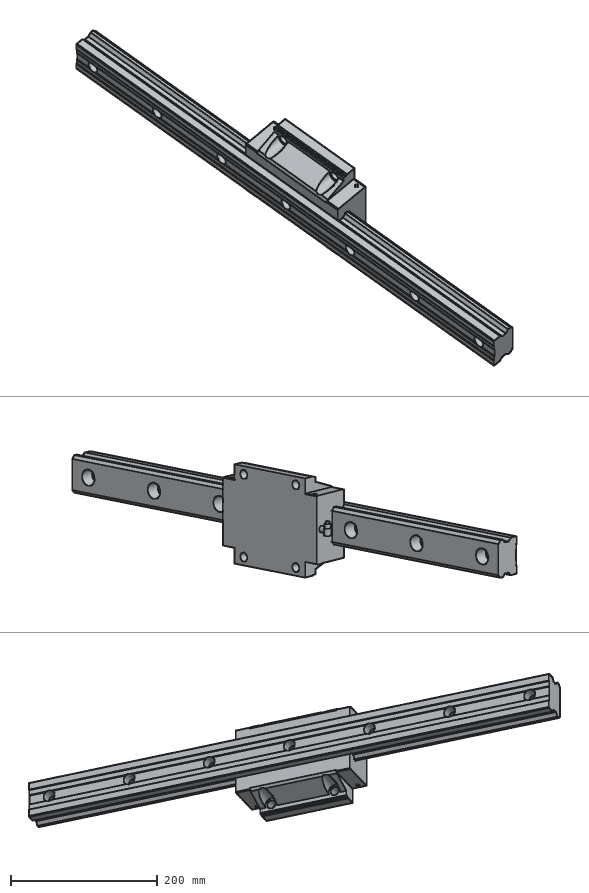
import cadquery as cq

RAIL_LENGTH = 780.0
TOTAL_HEIGHT = 70.0
TOTAL_WIDTH = 140.0

RAIL_HEIGHT = 38.0
RAIL_HALF_WIDTH = 26.5
NECK_HALF_WIDTH = 22.0
FOOT_TOP = 12.5
NECK_BOTTOM = 17.0
NECK_TOP = 24.0
HEAD_BOTTOM = 29.0
HEAD_TOP = 33.5
FOOT_CHAMFER = 1.2

CHANNEL_CLEARANCE = 0.2

RECESS_STEP = 1.0
RECESS_HALF_WIDTHS = [15.5, 7.4]

RAIL_HOLE_COUNT = 7
RAIL_HOLE_PITCH = 120.0
RAIL_HOLE_DIAMETER = 16.0
RAIL_BORE_DIAMETER = 23.0
RAIL_BORE_DEPTH = 20.0

CARRIAGE_BOTTOM = 13.0
CARRIAGE_LENGTH = 171.5
BLOCK_LENGTH = 129.5
CAP_HALF_WIDTH = 48.0
CAP_CHAMFER_HEIGHT = 1.95
CAP_CHAMFER_WIDTH = 1.0

FLANGE_BOTTOM = 48.0
FLANGE_RELIEF_TOP = 55.0
FLANGE_RELIEF_STEP = 2.0
FLANGE_RELIEF_DEPTH = 0.9
FLANK_TOP_HALF_WIDTH = 62.0
FLANK_BOTTOM_HALF_WIDTH = 50.0
FLANK_BOTTOM = 16.0
UNDERSIDE_HALF_WIDTH = 46.0

BOLT_SPACING_X = 95.0
BOLT_SPACING_Z = 116.0
BOLT_HOLE_DIAMETER = 12.5
CLEARANCE_DIAMETER = 19.0

PORT_DIAMETER = 5.0
PORT_DEPTH = 5.0
PORT_Y = 62.5
PORT_INSET = 10.0

NIPPLE_Y = 60.0
NIPPLE_BASE_DIAMETER = 9.0
ELBOW_REACH = 11.0
ELBOW_BOTTOM = -7.0
ELBOW_COLLAR_DIAMETER = 10.0
ELBOW_COLLAR_TOP = 3.0
ELBOW_DIAMETER = 8.5
ELBOW_TOP = 9.0
NIPPLE_TIP_DIAMETER = 5.5
NIPPLE_TIP_TOP = 12.5


def mirrored_profile(half_outline):
    """Close an outline of (y, z) points with its mirror image about Z = 0."""
    other_half = [(y, -z) for y, z in reversed(half_outline)]
    return cq.Workplane("YZ").polyline(half_outline + other_half).close()


def extrude_along_x(half_outline, length):
    """Extrude a mirrored outline to the given length, centred on X = 0."""
    return mirrored_profile(half_outline).extrude(length / 2, both=True)


def cylinder_along_y(x, z, diameter, y_start, y_end):
    base = cq.Vector(x, y_start, z)
    return cq.Workplane(cq.Solid.makeCylinder(diameter / 2, y_end - y_start, base, cq.Vector(0, 1, 0)))


def rail_section():
    half_outline = [
        (0, RAIL_HALF_WIDTH - FOOT_CHAMFER),
        (FOOT_CHAMFER, RAIL_HALF_WIDTH),
        (FOOT_TOP, RAIL_HALF_WIDTH),
        (NECK_BOTTOM, NECK_HALF_WIDTH),
        (NECK_TOP, NECK_HALF_WIDTH),
        (HEAD_BOTTOM, RAIL_HALF_WIDTH),
        (HEAD_TOP, RAIL_HALF_WIDTH),
        (RAIL_HEIGHT, NECK_HALF_WIDTH),
    ]
    return mirrored_profile(half_outline)


def make_rail():
    rail = rail_section().extrude(RAIL_LENGTH / 2, both=True)
    for level, half_width in enumerate(RECESS_HALF_WIDTHS):
        floor = (level + 1) * RECESS_STEP
        groove = [
            (level * RECESS_STEP, half_width),
            (floor, half_width - RECESS_STEP),
        ]
        rail = rail.cut(extrude_along_x(groove, RAIL_LENGTH))
    for index in range(RAIL_HOLE_COUNT):
        x = (index - (RAIL_HOLE_COUNT - 1) / 2) * RAIL_HOLE_PITCH
        rail = rail.cut(cylinder_along_y(x, 0, RAIL_HOLE_DIAMETER, 0, RAIL_HEIGHT))
        bore_floor = RAIL_HEIGHT - RAIL_BORE_DEPTH
        rail = rail.cut(cylinder_along_y(x, 0, RAIL_BORE_DIAMETER, bore_floor, RAIL_HEIGHT))
    return rail


def make_block():
    """Flanged middle part of the carriage."""
    half_width = TOTAL_WIDTH / 2
    half_outline = [
        (CARRIAGE_BOTTOM, UNDERSIDE_HALF_WIDTH),
        (FLANK_BOTTOM, FLANK_BOTTOM_HALF_WIDTH),
        (FLANGE_BOTTOM, FLANK_TOP_HALF_WIDTH),
        (FLANGE_BOTTOM, half_width - 2 * FLANGE_RELIEF_DEPTH),
        (FLANGE_BOTTOM + FLANGE_RELIEF_STEP, half_width - FLANGE_RELIEF_DEPTH),
        (FLANGE_RELIEF_TOP - FLANGE_RELIEF_STEP, half_width - FLANGE_RELIEF_DEPTH),
        (FLANGE_RELIEF_TOP, half_width),
        (TOTAL_HEIGHT, half_width),
    ]
    return extrude_along_x(half_outline, BLOCK_LENGTH)


def make_caps():
    """Two end caps, left from a full-length bar after the span of the block is removed."""
    half_outline = [
        (CARRIAGE_BOTTOM, CAP_HALF_WIDTH - CAP_CHAMFER_WIDTH),
        (CARRIAGE_BOTTOM + CAP_CHAMFER_HEIGHT, CAP_HALF_WIDTH),
        (TOTAL_HEIGHT - CAP_CHAMFER_HEIGHT, CAP_HALF_WIDTH),
        (TOTAL_HEIGHT, CAP_HALF_WIDTH - CAP_CHAMFER_WIDTH),
    ]
    middle = cq.Workplane("XY").box(BLOCK_LENGTH, 3 * TOTAL_HEIGHT, 2 * TOTAL_WIDTH)
    return extrude_along_x(half_outline, CARRIAGE_LENGTH).cut(middle)


def make_carriage():
    channel = rail_section().offset2D(CHANNEL_CLEARANCE, "intersection").extrude(CARRIAGE_LENGTH, both=True)
    carriage = make_block().union(make_caps()).cut(channel)
    port_x = CARRIAGE_LENGTH / 2 - PORT_INSET
    for side_x in (-1, 1):
        for side_z in (-1, 1):
            bolt_x = side_x * BOLT_SPACING_X / 2
            bolt_z = side_z * BOLT_SPACING_Z / 2
            carriage = carriage.cut(
                cylinder_along_y(bolt_x, bolt_z, CLEARANCE_DIAMETER, CARRIAGE_BOTTOM, FLANGE_BOTTOM)
            )
            carriage = carriage.cut(
                cylinder_along_y(bolt_x, bolt_z, BOLT_HOLE_DIAMETER, FLANGE_BOTTOM, TOTAL_HEIGHT)
            )
            port_mouth = cq.Vector(side_x * port_x, PORT_Y, side_z * CAP_HALF_WIDTH)
            inward = cq.Vector(0, 0, -side_z)
            port = cq.Solid.makeCylinder(PORT_DIAMETER / 2, PORT_DEPTH, port_mouth, inward)
            carriage = carriage.cut(cq.Workplane(port))
    return carriage


def make_nipple():
    cap_face = -CARRIAGE_LENGTH / 2
    elbow_x = cap_face - ELBOW_REACH
    mouth = cq.Vector(cap_face, NIPPLE_Y, 0)
    base = cq.Solid.makeCylinder(NIPPLE_BASE_DIAMETER / 2, ELBOW_REACH, mouth, cq.Vector(-1, 0, 0))
    nipple = cq.Workplane(base)
    stages = [
        (ELBOW_COLLAR_DIAMETER, ELBOW_COLLAR_TOP),
        (ELBOW_DIAMETER, ELBOW_TOP),
        (NIPPLE_TIP_DIAMETER, NIPPLE_TIP_TOP),
    ]
    foot = cq.Vector(elbow_x, NIPPLE_Y, ELBOW_BOTTOM)
    for diameter, top in stages:
        stage = cq.Solid.makeCylinder(diameter / 2, top - ELBOW_BOTTOM, foot, cq.Vector(0, 0, 1))
        nipple = nipple.union(cq.Workplane(stage))
    return nipple


rail = make_rail()
carriage = make_carriage()
nipple = make_nipple()

result = cq.Compound.makeCompound([rail.val(), carriage.val(), nipple.val()])